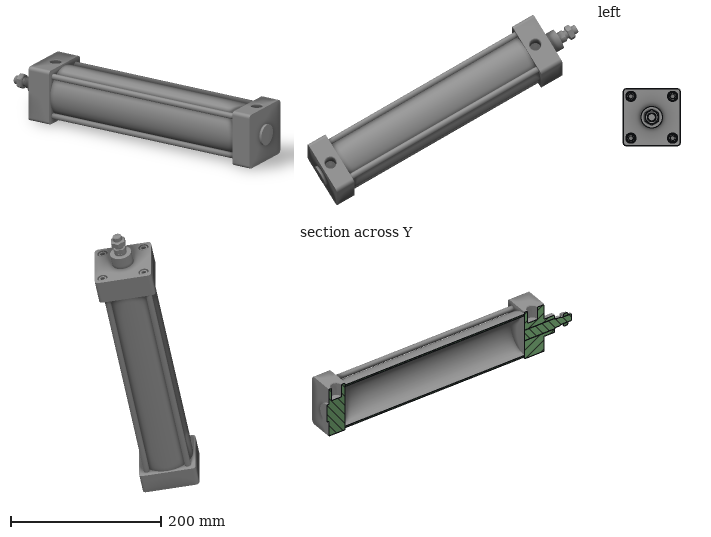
import cadquery as cq
import math

overall_length = 397.0
nut_start = 6.5
nut_length = 8.0
shoulder_start = 18.3
flats_end = 25.5
front_boss_start = 27.8
front_head_start = 44.5
front_head_length = 32.5
rear_boss_length = 3.5
rear_head_length = 27.0

front_head_end = front_head_start + front_head_length
rear_head_end = overall_length - rear_boss_length
rear_head_start = rear_head_end - rear_head_length

head_side = 76.2
head_corner_radius = 4.8
boss_diameter = 28.5
port_diameter = 15.5
port_chamfer = 1.0
port_depth = 20.0
front_port_offset = 19.0
rear_port_offset = 14.3

barrel_diameter = 70.0
bore_diameter = 63.5

rod_diameter = 16.0
rod_chamfer = 1.0
flats_width = 14.3
thread_diameter = 12.0
thread_chamfer = 1.0
nut_across_flats = 18.3
nut_face_diameter = 16.5
nut_chamfer_angle = 30.0

tie_rod_spacing = 55.5
tie_rod_diameter = 8.0
tie_head_diameter = 11.0
tie_head_length = 8.0
tie_head_sink = 0.8
tie_head_chamfer = 0.6
tie_recess_diameter = 13.5
tie_rear_engagement = 16.0
socket_across_corners = 7.0
socket_depth = 4.0


def cylinder(start, end, diameter, y=0.0, z=0.0):
    """Round bar along X between two X positions."""
    return (
        cq.Workplane("YZ", origin=(start, y, z))
        .circle(diameter / 2)
        .extrude(end - start)
    )


def hexagon(start, end, across_corners, y=0.0, z=0.0, turn=0.0):
    """Hexagonal bar along X; with no turn, two of its corners lie along Y."""
    return (
        cq.Workplane("YZ", origin=(start, y, z))
        .transformed(rotate=(0, 0, turn))
        .polygon(6, across_corners)
        .extrude(end - start)
    )


def head_block(start, length, port_offset):
    """Square head with rounded long edges and a blind air port in its top."""
    block = (
        cq.Workplane("YZ", origin=(start, 0, 0))
        .rect(head_side, head_side)
        .extrude(length)
        .edges("|X")
        .fillet(head_corner_radius)
    )
    top_plane = cq.Workplane("XY", origin=(start + port_offset, 0, head_side / 2))
    port = top_plane.circle(port_diameter / 2).extrude(-port_depth)
    port_mouth = (
        top_plane.circle(port_diameter / 2 + port_chamfer)
        .extrude(-port_chamfer, taper=45)
    )
    return block.cut(port).cut(port_mouth)


tie_rod_axes = []
for quarter in range(4):
    angle = math.radians(45 + 90 * quarter)
    axis_radius = tie_rod_spacing / math.sqrt(2)
    tie_rod_axes.append((axis_radius * math.cos(angle), axis_radius * math.sin(angle)))

tie_rod_end = rear_head_start + tie_rear_engagement
tie_head_start = front_head_start + tie_head_sink
tie_head_end = tie_head_start + tie_head_length


def make_front_head():
    head = head_block(front_head_start, front_head_length, front_port_offset)
    head = head.union(cylinder(front_boss_start, front_head_start, boss_diameter))
    head = head.cut(cylinder(front_boss_start, front_head_end, rod_diameter))
    for y, z in tie_rod_axes:
        head = head.cut(cylinder(front_head_start, tie_head_end, tie_recess_diameter, y, z))
        head = head.cut(cylinder(tie_head_end, front_head_end, tie_rod_diameter, y, z))
    return head


def make_rear_head():
    head = head_block(rear_head_start, rear_head_length, rear_port_offset)
    head = head.union(cylinder(rear_head_end, overall_length, boss_diameter))
    for y, z in tie_rod_axes:
        head = head.cut(cylinder(rear_head_start, tie_rod_end, tie_rod_diameter, y, z))
    return head


def make_barrel():
    barrel = cylinder(front_head_end, rear_head_start, barrel_diameter)
    return barrel.cut(cylinder(front_head_end, rear_head_start, bore_diameter))


def make_piston_rod():
    rod = cylinder(shoulder_start, front_head_end, rod_diameter)
    rod = rod.faces("<X").chamfer(rod_chamfer)
    flats_length = flats_end - shoulder_start
    flats_band = cq.Workplane("XY").box(flats_length, rod_diameter, rod_diameter)
    flats_core = cq.Workplane("XY").box(flats_length, rod_diameter, flats_width)
    flats_middle = (shoulder_start + flats_end) / 2
    rod = rod.cut(flats_band.cut(flats_core).translate((flats_middle, 0, 0)))
    thread = cylinder(0, shoulder_start, thread_diameter).faces("<X").chamfer(thread_chamfer)
    return rod.union(thread)


def make_rod_nut():
    """Hexagonal nut with corners up and down, both faces chamfered on the corners."""
    across_corners = nut_across_flats / math.cos(math.radians(30))
    corner_radius = across_corners / 2
    face_radius = nut_face_diameter / 2
    chamfer_length = (corner_radius - face_radius) * math.tan(math.radians(nut_chamfer_angle))
    nut = hexagon(0, nut_length, across_corners, turn=90)
    envelope = (
        cq.Workplane("XY")
        .moveTo(0, 0)
        .lineTo(0, face_radius)
        .lineTo(chamfer_length, corner_radius)
        .lineTo(nut_length - chamfer_length, corner_radius)
        .lineTo(nut_length, face_radius)
        .lineTo(nut_length, 0)
        .close()
        .revolve(360, (0, 0, 0), (1, 0, 0))
    )
    nut = nut.intersect(envelope).cut(cylinder(0, nut_length, thread_diameter))
    return nut.translate((nut_start, 0, 0))


def make_tie_rod(y, z, socket_turn):
    """Tie rod with a chamfered round head that has a hexagonal socket."""
    head = cylinder(tie_head_start, tie_head_end, tie_head_diameter, y, z)
    head = head.faces("<X").chamfer(tie_head_chamfer)
    socket_end = tie_head_start + socket_depth
    head = head.cut(hexagon(tie_head_start, socket_end, socket_across_corners, y, z, socket_turn))
    return head.union(cylinder(tie_head_end, tie_rod_end, tie_rod_diameter, y, z))


front_head = make_front_head()
rear_head = make_rear_head()
barrel = make_barrel()
piston_rod = make_piston_rod()
rod_nut = make_rod_nut()
tie_rods = [make_tie_rod(y, z, 90 * (i + 1)) for i, (y, z) in enumerate(tie_rod_axes)]

result = cq.Compound.makeCompound([
    front_head.solids().val(),
    rear_head.solids().val(),
    barrel.solids().val(),
    piston_rod.solids().val(),
    rod_nut.solids().val(),
    *[tie_rod.solids().val() for tie_rod in tie_rods],
])